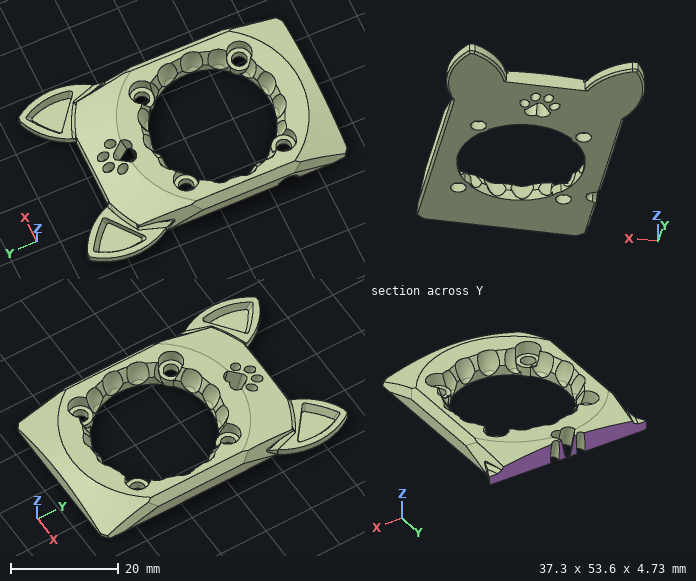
import cadquery as cq
import math

HEIGHT = 4.73
HALF_WIDTH = 16.4
FRONT_Y = -21.0
BACK_Y = 24.6
BASE_CHAMFER = 0.5
TOP_CHAMFER_WIDTH = 1.5
TOP_CHAMFER_DROP = 1.6
CORNER_HALF_WIDTH = 14.5
CORNER_LENGTH = 1.4

FLAT_TOP_RADIUS = 18.0
FRONT_REACH = 30.0
FRONT_SLOPE = 0.53
BACK_SLOPE = 0.28

FLAT_START_Y = 9.4
FLAT_FALL_ALONG_Y = 0.335
FLAT_FALL_ALONG_X = 1.55
FLAT_HEIGHT_AT_START = HEIGHT - TOP_CHAMFER_DROP

OVERALL_LENGTH = 53.6
OVERALL_WIDTH = 37.28
EAR_HEIGHT = 2.0
EAR_BASE_CHAMFER = 0.4
EAR_TIP_Y = FRONT_Y + OVERALL_LENGTH
EAR_OUTER_X = OVERALL_WIDTH / 2
EAR_TIP_OUTER = (16.05, EAR_TIP_Y)
EAR_TIP_INNER = (15.0, EAR_TIP_Y)
EAR_INNER_MIDDLE = (11.0, 30.05)
EAR_INNER_ROOT = (7.5, BACK_Y)
EAR_BURIED_POINT = (9.0, 17.0)
EAR_OUTER_ROOT = (HALF_WIDTH - 0.2, 16.7)
EAR_OUTER_MIDDLE = (EAR_OUTER_X, 24.9)

POCKET_DEPTH = 1.5
POCKET_CORNER_RADIUS = 0.5
POCKET_RIM_TIP = (15.3, 31.5)
POCKET_RIM_INNER_MIDDLE = (12.3, 29.4)
POCKET_RIM_INNER = (9.5, 26.75)
POCKET_RIM_OUTER = (16.9, 20.9)
POCKET_RIM_OUTER_MIDDLE = (17.3, 26.2)
POCKET_FLOOR_TIP = (15.3, 30.4)
POCKET_FLOOR_INNER_MIDDLE = (12.9, 28.8)
POCKET_FLOOR_INNER = (10.2, 26.2)
POCKET_FLOOR_OUTER = (16.2, 21.4)
POCKET_FLOOR_OUTER_MIDDLE = (16.6, 26.2)

COLLAR_TOP_RADIUS = 25.75
COLLAR_FOOT_RADIUS = 26.4
COLLAR_RISE = 0.5
COLLAR_SIDE_FALL = 0.5
COLLAR_SIDE_BACK = (14.75, 21.9)
COLLAR_END = (7.2, BACK_Y)
COLLAR_END_TIP = (7.9, 25.3)
COLLAR_SIDE_FRONT = (HALF_WIDTH, 16.9)
COLLAR_SIDE_END = (15.85, 15.0)

BORE_RADIUS = 12.0
BORE_TOP_RADIUS = 13.5
BORE_LAND = 2.2
SCALLOP_COUNT = 15
SCALLOP_START_ANGLE = 90
SCALLOP_RING_RADIUS = 11.3
SCALLOP_TOP_RADIUS = 2.7
SCALLOP_MIDDLE = (2.25, 2.8)
SCALLOP_FOOT = (1.4, 1.0)
SCALLOP_BASE = (0.7, 0.3)

SCREW_PITCH = 20.0
SCREW_DIAMETER = 2.9
COUNTERBORE_DIAMETER = 4.75
COUNTERBORE_FLOOR = 2.0

RECESS_Y = -8.2
RECESS_DIAMETER = 2.8
RECESS_MOUTH_DIAMETER = 4.5
RECESS_MOUTH_DEPTH = 1.0

PAW_Y = 19.0
PAW_REACH = 10.0
INNER_TOE = (1.24, 3.05)
INNER_TOE_RADII = (1.17, 0.88)
OUTER_TOE = (2.85, 0.8)
OUTER_TOE_RADII = (1.12, 0.88)
OUTER_TOE_TILT = 25.0
HEEL_CROWN_Y = 1.35
HEEL_SHOULDER = (0.8, 0.9)
HEEL_SIDE = (2.45, -1.25)
HEEL_LOBE = (1.7, -2.55)
HEEL_NOTCH_Y = -2.3

MARGIN = 10.0
BIG = 100.0


def mirrored_pair(shape):
    """The shape and its mirror image across the YZ plane."""
    return shape.union(shape.mirror("YZ"))


def outside_plane(point, normal):
    """A large block filling the side of a plane that its normal points to."""
    plane = cq.Plane(origin=point, normal=normal)
    return cq.Workplane(plane).rect(BIG, BIG).extrude(BIG)


def half_envelope(slope_points, start_angle):
    """Half disc with a flat round top, turned about Z, falling away through (radius, height) points."""
    profile = (
        cq.Workplane("XZ")
        .moveTo(0, -MARGIN)
        .lineTo(0, HEIGHT)
        .lineTo(FLAT_TOP_RADIUS, HEIGHT)
    )
    for point in slope_points:
        profile = profile.lineTo(*point)
    outer_radius = slope_points[-1][0]
    half = profile.lineTo(outer_radius, -MARGIN).close().revolve(180, (0, 0), (0, 1))
    return half.rotate((0, 0, 0), (0, 0, 1), start_angle)


def make_envelope():
    """Steep slope at the front; gentle slope ending in a bevel down to the ears at the back."""
    front_height = HEIGHT - FRONT_SLOPE * (FRONT_REACH - FLAT_TOP_RADIUS)
    collar_height = HEIGHT - BACK_SLOPE * (COLLAR_TOP_RADIUS - FLAT_TOP_RADIUS)
    front = half_envelope([(FRONT_REACH, front_height)], 180)
    back = half_envelope([(COLLAR_TOP_RADIUS, collar_height), (COLLAR_FOOT_RADIUS, EAR_HEIGHT)], 0)
    return front.union(back)


def make_bar():
    """Straight bar with chamfered long edges and cut front corners."""
    bar = (
        cq.Workplane("XZ", origin=(0, BACK_Y, 0))
        .moveTo(-HALF_WIDTH + BASE_CHAMFER, 0)
        .lineTo(HALF_WIDTH - BASE_CHAMFER, 0)
        .lineTo(HALF_WIDTH, BASE_CHAMFER)
        .lineTo(HALF_WIDTH, HEIGHT - TOP_CHAMFER_DROP)
        .lineTo(HALF_WIDTH - TOP_CHAMFER_WIDTH, HEIGHT)
        .lineTo(-HALF_WIDTH + TOP_CHAMFER_WIDTH, HEIGHT)
        .lineTo(-HALF_WIDTH, HEIGHT - TOP_CHAMFER_DROP)
        .lineTo(-HALF_WIDTH, BASE_CHAMFER)
        .close()
        .extrude(BACK_Y - FRONT_Y)
    )
    corner_run = HALF_WIDTH - CORNER_HALF_WIDTH
    corner = outside_plane((CORNER_HALF_WIDTH, FRONT_Y, 0), (CORNER_LENGTH, -corner_run, 0))
    return bar.cut(mirrored_pair(corner))


def cut_side_flats(body):
    """Slice the long edges with flats that fall towards the front and the back."""
    for end in (-1, 1):
        flat = outside_plane(
            (HALF_WIDTH, end * FLAT_START_Y, FLAT_HEIGHT_AT_START),
            (FLAT_FALL_ALONG_X, end * FLAT_FALL_ALONG_Y, 1),
        )
        body = body.cut(mirrored_pair(flat))
    return body


def make_ear():
    """Pointed ear with two curved sides and a chamfered base."""
    outline = (
        cq.Workplane("XY")
        .moveTo(*EAR_TIP_OUTER)
        .lineTo(*EAR_TIP_INNER)
        .threePointArc(EAR_INNER_MIDDLE, EAR_INNER_ROOT)
        .lineTo(*EAR_BURIED_POINT)
        .lineTo(*EAR_OUTER_ROOT)
        .threePointArc(EAR_OUTER_MIDDLE, EAR_TIP_OUTER)
        .close()
    )
    return outline.extrude(EAR_HEIGHT).faces("<Z").chamfer(EAR_BASE_CHAMFER)


def pocket_wire(height, tip, inner_middle, inner, outer, outer_middle):
    """Three-sided pocket outline with one straight and two curved sides."""
    return (
        cq.Workplane("XY", origin=(0, 0, height))
        .moveTo(*tip)
        .threePointArc(inner_middle, inner)
        .lineTo(*outer)
        .threePointArc(outer_middle, tip)
        .close()
        .val()
    )


def make_ear_pocket():
    """Pocket that narrows from its rim to its floor, with rounded corners."""
    floor = pocket_wire(
        EAR_HEIGHT - POCKET_DEPTH,
        POCKET_FLOOR_TIP,
        POCKET_FLOOR_INNER_MIDDLE,
        POCKET_FLOOR_INNER,
        POCKET_FLOOR_OUTER,
        POCKET_FLOOR_OUTER_MIDDLE,
    )
    rim = pocket_wire(
        EAR_HEIGHT,
        POCKET_RIM_TIP,
        POCKET_RIM_INNER_MIDDLE,
        POCKET_RIM_INNER,
        POCKET_RIM_OUTER,
        POCKET_RIM_OUTER_MIDDLE,
    )
    pocket = cq.Solid.makeLoft([floor, rim], True)
    corners = [edge for edge in pocket.Edges() if edge.BoundingBox().zlen > POCKET_DEPTH / 2]
    return cq.Workplane(pocket.fillet(POCKET_CORNER_RADIUS, corners))


def make_back_collar():
    """Short length of the round bevel that stands out past the back edge, over the ear."""
    block = (
        cq.Workplane("XY", origin=(0, 0, EAR_HEIGHT))
        .moveTo(*COLLAR_END)
        .lineTo(*COLLAR_END_TIP)
        .lineTo(COLLAR_SIDE_BACK[0], COLLAR_END_TIP[1])
        .lineTo(*COLLAR_SIDE_BACK)
        .close()
        .extrude(COLLAR_RISE)
    )
    return block.intersect(make_envelope())


def make_side_collar():
    """Bevel that rises from the ear top to the sloping flat on the side of the body."""
    back_x, back_y = COLLAR_SIDE_BACK
    front_x, front_y = COLLAR_SIDE_FRONT
    run_x = front_x - back_x
    run_y = front_y - back_y
    run = math.hypot(run_x, run_y)
    bevel_normal = (-run_y / run * COLLAR_SIDE_FALL, run_x / run * COLLAR_SIDE_FALL, 1)
    block = (
        cq.Workplane("XY", origin=(0, 0, EAR_BASE_CHAMFER))
        .moveTo(back_x, back_y)
        .lineTo(front_x, front_y)
        .lineTo(*COLLAR_SIDE_END)
        .lineTo(EAR_BURIED_POINT[0], COLLAR_SIDE_END[1])
        .lineTo(EAR_BURIED_POINT[0], back_y)
        .close()
        .extrude(EAR_HEIGHT + COLLAR_RISE - EAR_BASE_CHAMFER)
    )
    return block.cut(outside_plane((back_x, back_y, EAR_HEIGHT), bevel_normal))


def make_scallop():
    """Barrel cutter on an upright axis, wide at the top and coned at the base."""
    profile = (
        cq.Workplane("XZ")
        .moveTo(0, SCALLOP_BASE[1])
        .lineTo(*SCALLOP_BASE)
        .lineTo(*SCALLOP_FOOT)
        .threePointArc(SCALLOP_MIDDLE, (SCALLOP_TOP_RADIUS, HEIGHT))
        .lineTo(0, HEIGHT)
        .close()
    )
    return profile.revolve(360, (0, 0), (0, 1)).translate((SCALLOP_RING_RADIUS, 0, 0))


def cut_bore(body):
    """Bore, its opening cone and the ring of scallops."""
    land = cq.Workplane("XY").circle(BORE_RADIUS).extrude(HEIGHT)
    rise = HEIGHT - BORE_LAND
    cone = cq.Solid.makeCone(BORE_RADIUS, BORE_TOP_RADIUS, rise, cq.Vector(0, 0, BORE_LAND))
    body = body.cut(land).cut(cq.Workplane(cone))

    scallop = make_scallop()
    for index in range(SCALLOP_COUNT):
        angle = SCALLOP_START_ANGLE + index * 360 / SCALLOP_COUNT
        body = body.cut(scallop.rotate((0, 0, 0), (0, 0, 1), angle))
    return body


def screw_cylinders(diameter, bottom, top):
    """One upright cylinder at each screw position."""
    return (
        cq.Workplane("XY", origin=(0, 0, bottom))
        .rect(SCREW_PITCH, SCREW_PITCH, forConstruction=True)
        .vertices()
        .circle(diameter / 2)
        .extrude(top - bottom)
    )


def cut_screw_holes(body):
    """Four counterbored holes, each keeping a full round seat beside the bore."""
    bosses = screw_cylinders(COUNTERBORE_DIAMETER, 0, COUNTERBORE_FLOOR)
    counterbores = screw_cylinders(COUNTERBORE_DIAMETER, COUNTERBORE_FLOOR, HEIGHT)
    holes = screw_cylinders(SCREW_DIAMETER, 0, HEIGHT)
    return body.union(bosses).cut(counterbores).cut(holes)


def cut_side_recess(body):
    """Flared mouth in the -X side that ends in a round bottom."""
    mouth = cq.Solid.makeCone(
        RECESS_MOUTH_DIAMETER / 2,
        RECESS_DIAMETER / 2,
        RECESS_MOUTH_DEPTH,
        cq.Vector(-HALF_WIDTH, RECESS_Y, 0),
        cq.Vector(1, 0, 0),
    )
    bottom = cq.Workplane("XY").sphere(RECESS_DIAMETER / 2)
    bottom = bottom.translate((-HALF_WIDTH + RECESS_MOUTH_DEPTH, RECESS_Y, 0))
    return body.cut(cq.Workplane(mouth)).cut(bottom)


def cut_paw(body):
    """Four toes and a heel pad, cut right through."""
    slope_height = HEIGHT - BACK_SLOPE * (PAW_Y - FLAT_TOP_RADIUS)
    plane = cq.Plane(origin=(0, PAW_Y, slope_height), xDir=(1, 0, 0), normal=(0, BACK_SLOPE, 1))
    sketch_plane = cq.Workplane(plane)
    for side in (-1, 1):
        for (x, y), radii, tilt in (
            (INNER_TOE, INNER_TOE_RADII, 0),
            (OUTER_TOE, OUTER_TOE_RADII, OUTER_TOE_TILT),
        ):
            toe = sketch_plane.center(side * x, y).ellipse(*radii, rotation_angle=90 - side * tilt)
            body = body.cut(toe.extrude(PAW_REACH, both=True))
    heel = (
        sketch_plane.moveTo(-HEEL_SHOULDER[0], HEEL_SHOULDER[1])
        .threePointArc((0, HEEL_CROWN_Y), HEEL_SHOULDER)
        .lineTo(*HEEL_SIDE)
        .threePointArc(HEEL_LOBE, (0, HEEL_NOTCH_Y))
        .threePointArc((-HEEL_LOBE[0], HEEL_LOBE[1]), (-HEEL_SIDE[0], HEEL_SIDE[1]))
        .close()
        .extrude(PAW_REACH, both=True)
    )
    return body.cut(heel)


body = cut_side_flats(make_bar().intersect(make_envelope()))
body = body.union(mirrored_pair(make_ear())).union(mirrored_pair(make_side_collar()))
body = body.union(mirrored_pair(make_back_collar()))
body = body.cut(mirrored_pair(make_ear_pocket()))
body = cut_bore(body)
body = cut_screw_holes(body)
body = cut_side_recess(body)
result = cut_paw(body)